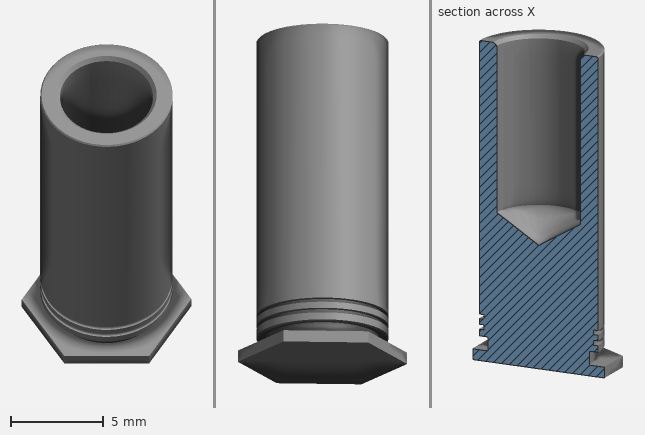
import cadquery as cq
import math

head_across_flats = 7.9
head_thickness = 0.63

total_height = 18.0
barrel_diameter = 7.13
neck_diameter = 6.1
neck_top = 1.39
groove_diameter = 6.6
grooves = [(1.78, 2.03), (2.38, 2.61)]
rim_chamfer = 0.07

bore_diameter = 5.0
bore_depth = 9.54
drill_tip_angle = 118.0
mouth_diameter = 5.4
mouth_angle = 90.0


def disc(diameter, bottom, top):
    """Solid cylinder on the part axis between two heights."""
    return cq.Workplane("XY").workplane(offset=bottom).circle(diameter / 2).extrude(top - bottom)


def make_head():
    across_corners = head_across_flats / math.cos(math.pi / 6)
    return cq.Workplane("XY").polygon(6, across_corners).extrude(head_thickness)


def make_barrel():
    barrel = disc(barrel_diameter, neck_top, total_height).faces(">Z").chamfer(rim_chamfer)
    for bottom, top in grooves:
        ring = disc(barrel_diameter, bottom, top).cut(disc(groove_diameter, bottom, top))
        barrel = barrel.cut(ring)
    return barrel


def make_bore():
    """Revolved cutter: countersunk mouth, straight bore and drill tip."""
    bore_radius = bore_diameter / 2
    mouth_radius = mouth_diameter / 2
    bore_bottom = total_height - bore_depth
    tip_depth = bore_radius / math.tan(math.radians(drill_tip_angle / 2))
    mouth_depth = (mouth_radius - bore_radius) / math.tan(math.radians(mouth_angle / 2))
    profile = (
        cq.Workplane("XZ")
        .moveTo(0, bore_bottom - tip_depth)
        .lineTo(bore_radius, bore_bottom)
        .lineTo(bore_radius, total_height - mouth_depth)
        .lineTo(mouth_radius, total_height)
        .lineTo(0, total_height)
        .close()
    )
    return profile.revolve(360, (0, 0, 0), (0, 1, 0))


neck = disc(neck_diameter, head_thickness, neck_top)
result = make_head().union(neck).union(make_barrel()).cut(make_bore())